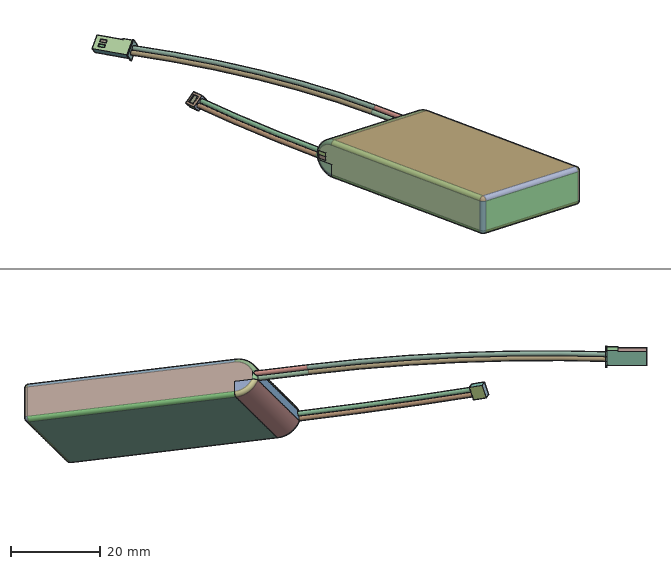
import cadquery as cq
import math


pack_length = 55.35
pack_width = 30.0
pack_height = 9.0
edge_radius = 1.0
nose_length = 5.15
nose_tip_height = 2.2

block_length = nose_length + 0.1
block_top = -nose_tip_height / 2
tab_length = 2.2
tab_depth = 2.5
tab_height = 0.9
tab_top = 1.1
tab_proud = 0.01

wire_diameter = 1.15
wire_pitch = 1.2
wire_embed = edge_radius
plug_embed = 1.5
lead_offset = 13.95
pair_roll = 45.0

long_straight = 12.0
long_bend_radius = 173.6
long_reach = 77.95
long_droop = 1.6
long_plug_yaw = 20.0

short_straight = 0.0
short_bend_radius = 350.0
short_reach = 42.05
short_droop = 5.0
short_plug_yaw = 6.0

long_plug_length = 9.25
long_plug_width = 3.5
long_plug_thickness = 2.0
latch_length = 2.8
latch_height = 0.25
flange_thickness = 0.3
flange_overhang = 0.3
long_window_length = 1.6
long_window_width = 0.7
long_window_margin = 1.2
window_depth = 0.3

short_plug_length = 3.2
short_plug_width = 3.2
short_plug_thickness = 1.8
short_window_length = 1.6
short_window_width = 2.0
short_window_margin = 0.6


def make_pack_blank():
    """Rounded slab whose front end narrows along two arcs to a flat tip."""
    half_height = pack_height / 2
    half_tip = nose_tip_height / 2
    drop = half_height - half_tip
    nose_radius = (nose_length**2 + drop**2) / (2 * drop)
    half_angle = math.asin(nose_length / nose_radius) / 2
    mid_x = nose_length - nose_radius * math.sin(half_angle)
    mid_z = half_height - nose_radius * (1 - math.cos(half_angle))
    blank = (
        cq.Workplane("XZ", origin=(0, pack_width / 2, 0))
        .moveTo(0, -half_tip)
        .lineTo(0, half_tip)
        .threePointArc((mid_x, mid_z), (nose_length, half_height))
        .lineTo(pack_length, half_height)
        .lineTo(pack_length, -half_height)
        .lineTo(nose_length, -half_height)
        .threePointArc((mid_x, -mid_z), (0, -half_tip))
        .close()
        .extrude(pack_width)
    )
    return blank.faces(">X or <Y or >Y").edges().fillet(edge_radius)


def make_block_region():
    """Space under the parting face, up to the block's rear end and open on all other sides."""
    return cq.Workplane("XY").box(
        2 * block_length, 2 * pack_width, pack_height, centered=(False, True, False)
    ).translate((-block_length, 0, block_top - pack_height))


def make_tab(index):
    """One solder tab in the -Y side, counted from the upper one."""
    return cq.Workplane("XY").box(
        tab_length, tab_depth + tab_proud, tab_height, centered=False
    ).translate((wire_embed, -pack_width / 2 - tab_proud, tab_top - (index + 1) * tab_height))


def bend_offset(reach, straight, radius):
    """Sideways travel of a lead at a given distance from the tip."""
    return radius - math.sqrt(radius**2 - (reach - straight) ** 2)


def make_wire_pair(straight, radius, reach, droop, side):
    """Two wires leaving the nose on one side (+1 or -1) and bending inward."""
    end = reach + plug_embed
    middle = (straight + end) / 2
    wires = []
    for place in (-wire_pitch / 2, wire_pitch / 2):
        path = (
            cq.Workplane("XY")
            .moveTo(wire_embed, 0)
            .lineTo(-straight, 0)
            .threePointArc(
                (-middle, -side * bend_offset(middle, straight, radius)),
                (-end, -side * bend_offset(end, straight, radius)),
            )
        )
        wire = (
            cq.Workplane("YZ", origin=(wire_embed, 0, 0))
            .circle(wire_diameter / 2)
            .sweep(path)
            .rotate((0, 0, 0), (1, 0, 0), side * droop)
        )
        across = place * math.cos(math.radians(pair_roll))
        up = place * math.sin(math.radians(pair_roll))
        wires.append(wire.translate((0, side * lead_offset + across, up)))
    return wires


def make_plug_block(length, width, thickness):
    """Plain plug lying along X with its rear face at X = 0."""
    return cq.Workplane("XY").box(length, width, thickness).translate((-length / 2, 0, 0))


def make_window(front_x, length, width, top):
    """Space of a shallow window sunk from the top face, starting at its front end."""
    return cq.Workplane("XY").box(
        length, width, window_depth, centered=(False, True, False)
    ).translate((front_x, 0, top - window_depth))


def make_long_plug():
    """Plug with a rear flange, a latch on its narrow side and a window over each wire."""
    plug = make_plug_block(long_plug_length, long_plug_width, long_plug_thickness)
    flange = make_plug_block(
        flange_thickness,
        long_plug_width + 2 * flange_overhang,
        long_plug_thickness + 2 * flange_overhang,
    )
    latch = make_plug_block(latch_length, latch_height, long_plug_thickness).translate(
        (0, (long_plug_width + latch_height) / 2, 0)
    )
    plug = plug.union(flange).union(latch)
    window = make_window(
        long_window_margin - long_plug_length,
        long_window_length,
        long_window_width,
        long_plug_thickness / 2,
    )
    for window_y in (-wire_pitch / 2, wire_pitch / 2):
        plug = plug.cut(window.translate((0, window_y, 0)))
    return plug


def make_short_plug():
    """Short plain plug with one wide window."""
    plug = make_plug_block(short_plug_length, short_plug_width, short_plug_thickness)
    window = make_window(
        short_window_margin - short_plug_length,
        short_window_length,
        short_window_width,
        short_plug_thickness / 2,
    )
    return plug.cut(window)


def place_plug(plug, wires, straight, radius, reach, droop, yaw, side):
    """Roll, turn and move a plug onto the end of its lead, then fit it to the wires."""
    travel = bend_offset(reach, straight, radius)
    drop_angle = math.radians(droop)
    placed = (
        plug.rotate((0, 0, 0), (1, 0, 0), pair_roll)
        .rotate((0, 0, 0), (0, 0, 1), side * yaw)
        .translate((
            -reach,
            side * (lead_offset - travel * math.cos(drop_angle)),
            -travel * math.sin(drop_angle),
        ))
    )
    for wire in wires:
        placed = placed.cut(wire)
    return placed


long_wires = make_wire_pair(long_straight, long_bend_radius, long_reach, long_droop, 1)
short_wires = make_wire_pair(short_straight, short_bend_radius, short_reach, short_droop, -1)

long_plug = place_plug(
    make_long_plug(), long_wires,
    long_straight, long_bend_radius, long_reach, long_droop, long_plug_yaw, 1,
)
short_plug = place_plug(
    make_short_plug(), short_wires,
    short_straight, short_bend_radius, short_reach, short_droop, short_plug_yaw, -1,
)

tabs = [make_tab(index) for index in range(2)]
pack_blank = make_pack_blank()
nose_block = pack_blank.intersect(make_block_region())
pack = pack_blank.cut(nose_block)
for insert in tabs + long_wires + short_wires:
    pack = pack.cut(insert)

bodies = [pack, nose_block, long_plug, short_plug] + tabs + long_wires + short_wires
result = cq.Compound.makeCompound([body.solids().val() for body in bodies])